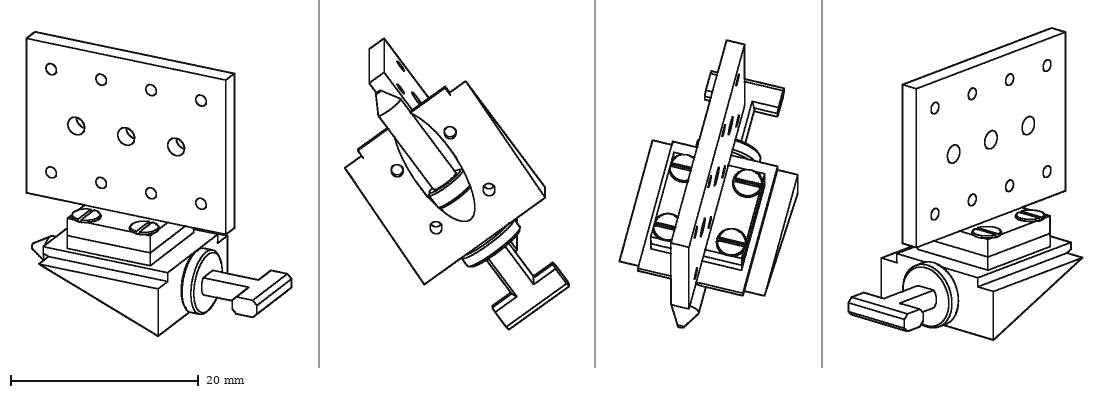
import cadquery as cq
import math


plate_length = 24.0
plate_thickness = 2.0
plate_height = 18.0
edge_hole_diameter = 1.25
middle_hole_diameter = 2.0
hole_pitch = 6.0
edge_hole_rows = 12.0
foot_side = 10.0
foot_thickness = 2.0

screw_pitch = 7.0
screw_diameter = 1.6
screw_clearance_diameter = 1.8
screw_pilot_diameter = 1.25
screw_length = 4.98
head_diameter = 3.0
head_rise = 0.18
head_countersink_diameter = 3.2
head_cone_angle = 90.0
slot_width = 0.38
slot_depth = 0.47

pad_height = 1.5
base_length = 15.0
flange_width = 11.55
flange_height = 1.03
wedge_width = 16.0
wedge_height = 5.5
wedge_angle = 21.0
axis_depth = 2.0
spring_bore_diameter = 5.0
bore_end_wall = 2.0

overall_length = 29.3
pin_length = 29.0
pin_diameter = 3.0
tip_length = 2.02
tip_half_angle = 30.0
collar_diameter = 4.5
collar_start = 12.0
collar_length = 2.0
collar_chamfer = 0.2
disc_diameter = 7.0
disc_start = 19.5
disc_length = 1.52
disc_chamfer = 0.23
handle_length = 8.0
handle_width = 3.0
handle_thickness = 2.0
handle_chamfer = 0.5

spring_diameter = 4.1

pad_top = -foot_thickness
flange_top = pad_top - pad_height
wedge_top = flange_top - flange_height
wedge_bottom = wedge_top - wedge_height
axis_level = wedge_top - axis_depth
base_end = base_length / 2
bore_end = base_end - bore_end_wall
handle_end = overall_length - plate_length / 2
pin_tip = handle_end - pin_length
collar_end = pin_tip + collar_start + collar_length
disc_end = pin_tip + disc_start + disc_length


def box_on(length, width, height, bottom):
    """A box centred on X = Y = 0 that stands on the level `bottom`."""
    return cq.Workplane("XY", origin=(0, 0, bottom)).box(length, width, height, centered=(True, True, False))


def rod(diameter, start, end):
    """A cylinder on the pin axis, from X = start to X = end."""
    return cq.Workplane("YZ", origin=(start, 0, axis_level)).circle(diameter / 2).extrude(end - start)


def cone_depth(wide_diameter, narrow_diameter):
    """Depth over which the countersink cone narrows from one diameter to the other."""
    return (wide_diameter - narrow_diameter) / 2 / math.tan(math.radians(head_cone_angle / 2))


def make_bracket():
    plate = box_on(plate_length, plate_thickness, plate_height, 0)
    front_face = cq.Workplane("XZ", origin=(0, -plate_thickness / 2, plate_height / 2))
    edge_holes = (
        front_face.rarray(hole_pitch, edge_hole_rows, 4, 2)
        .circle(edge_hole_diameter / 2)
        .extrude(-plate_thickness)
    )
    middle_holes = (
        front_face.rarray(hole_pitch, 0.3, 3, 1)
        .circle(middle_hole_diameter / 2)
        .extrude(-plate_thickness)
    )
    foot = (
        box_on(foot_side, foot_side, foot_thickness, -foot_thickness)
        .faces(">Z")
        .workplane()
        .rarray(screw_pitch, screw_pitch, 2, 2)
        .cskHole(screw_clearance_diameter, head_countersink_diameter, head_cone_angle)
    )
    return plate.cut(edge_holes).cut(middle_holes).union(foot)


def make_base():
    flange = box_on(base_length, flange_width, flange_height, wedge_top)
    wedge = box_on(base_length, wedge_width, wedge_height, wedge_bottom)
    slope_rise = base_length * math.tan(math.radians(wedge_angle))
    below_slope = (
        cq.Workplane("XZ")
        .moveTo(base_end, wedge_bottom)
        .lineTo(-base_end, wedge_bottom + slope_rise)
        .lineTo(-base_end, wedge_bottom)
        .close()
        .extrude(wedge_width / 2, both=True)
    )
    pad = box_on(foot_side, foot_side, pad_height, flange_top)
    base = wedge.union(flange).cut(below_slope).union(pad)

    base = base.cut(rod(pin_diameter, -base_end, base_end))
    base = base.cut(rod(spring_bore_diameter, -base_end, bore_end))

    screw_tip = cq.Workplane("XY", origin=(0, 0, -screw_length)).rarray(screw_pitch, screw_pitch, 2, 2)
    screw_holes = screw_tip.circle(screw_diameter / 2).extrude(screw_length)
    pilot_holes = screw_tip.circle(screw_pilot_diameter / 2).extrude(wedge_bottom + screw_length)
    return base.cut(screw_holes).cut(pilot_holes)


def make_screw(x, y):
    head_radius = head_diameter / 2
    shank_radius = screw_diameter / 2
    rim_level = -cone_depth(head_countersink_diameter, head_diameter)
    neck_level = -cone_depth(head_countersink_diameter, screw_diameter)
    screw = (
        cq.Workplane("XZ")
        .moveTo(0, head_rise)
        .lineTo(head_radius, head_rise)
        .lineTo(head_radius, rim_level)
        .lineTo(shank_radius, neck_level)
        .lineTo(shank_radius, -screw_length)
        .lineTo(0, -screw_length)
        .close()
        .revolve(360, (0, 0), (0, 1))
    )
    slot = box_on(slot_width, head_diameter, slot_depth, head_rise - slot_depth)
    return screw.cut(slot).translate((x, y, 0))


def make_pin():
    shaft = rod(pin_diameter, pin_tip, disc_end)
    tip_cone = tip_length * math.tan(math.radians(tip_half_angle))
    shaft = shaft.faces("<X").chamfer(tip_length, tip_cone)
    collar = rod(collar_diameter, collar_end - collar_length, collar_end).edges().chamfer(collar_chamfer)
    disc = rod(disc_diameter, disc_end - disc_length, disc_end).edges().chamfer(disc_chamfer)

    stem_end = handle_end - handle_width / 2
    flats = box_on(2 * overall_length, pin_diameter, handle_thickness, axis_level - handle_thickness / 2)
    stem = rod(pin_diameter, disc_end, stem_end).intersect(flats)
    bar = (
        box_on(handle_width, handle_length, handle_thickness, axis_level - handle_thickness / 2)
        .edges("|Y")
        .chamfer(handle_chamfer)
        .translate((stem_end, 0, 0))
    )
    return shaft.union(collar).union(disc).union(stem).union(bar)


def make_spring_sleeve():
    return rod(spring_diameter, collar_end, bore_end).cut(rod(pin_diameter, collar_end, bore_end))


bracket = make_bracket()
base = make_base()
pin = make_pin()
spring_sleeve = make_spring_sleeve()
screws = [
    make_screw(x_side * screw_pitch / 2, y_side * screw_pitch / 2)
    for x_side in (-1, 1)
    for y_side in (-1, 1)
]

result = cq.Compound.makeCompound(
    [bracket.val(), base.val(), pin.val(), spring_sleeve.val(), *[screw.val() for screw in screws]]
)